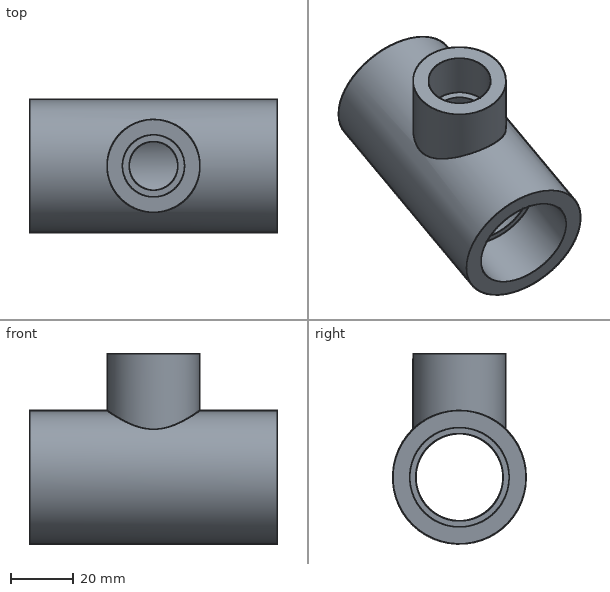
import cadquery as cq

run_length = 79.7
run_diameter = 43.0
run_socket_diameter = 32.0
run_bore_diameter = 28.0
run_socket_depth = 19.5

branch_height = 39.8
branch_diameter = 29.9
branch_socket_diameter = 20.0
branch_bore_diameter = 15.63
branch_socket_depth = 16.0


def run_cylinder(diameter, start_x, length):
    """Cylinder on the run axis, from start_x towards +X."""
    return cq.Workplane("YZ").workplane(offset=start_x).circle(diameter / 2).extrude(length)


def branch_cylinder(diameter, start_z, end_z):
    """Cylinder on the branch axis between two heights above the run axis."""
    return cq.Workplane("XY").workplane(offset=start_z).circle(diameter / 2).extrude(end_z - start_z)


def make_body():
    run = run_cylinder(run_diameter, -run_length / 2, run_length)
    return run.union(branch_cylinder(branch_diameter, 0, branch_height))


def cut_run_passage(body):
    """Through bore with a wider pipe socket at each end."""
    body = body.cut(run_cylinder(run_bore_diameter, -run_length / 2, run_length))
    for socket_start in (-run_length / 2, run_length / 2 - run_socket_depth):
        body = body.cut(run_cylinder(run_socket_diameter, socket_start, run_socket_depth))
    return body


def cut_branch_passage(body):
    """Bore into the run passage with a wider pipe socket at the mouth."""
    socket_floor = branch_height - branch_socket_depth
    body = body.cut(branch_cylinder(branch_bore_diameter, 0, branch_height))
    return body.cut(branch_cylinder(branch_socket_diameter, socket_floor, branch_height))


result = cut_branch_passage(cut_run_passage(make_body()))